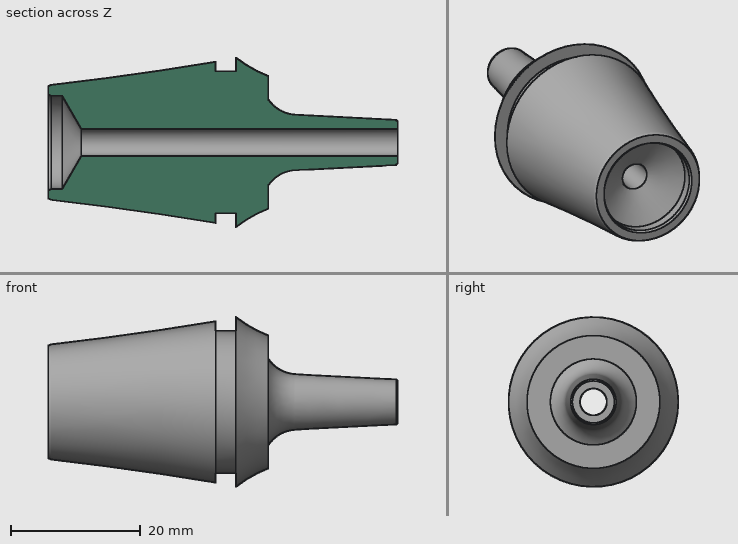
import cadquery as cq
import math

length = 54.0
head_end = 25.85
collar_start = 29.0
collar_end = 34.0
neck_length = 4.05

head_front_radius = 8.9
head_back_radius = 12.5
groove_radius = 11.0
collar_front_radius = 13.1
collar_back_radius = 10.25
neck_root_radius = 6.65
stem_root_radius = 4.3
stem_tip_radius = 3.5

head_sag = 0.15
collar_sag = 0.2
neck_sag = 0.55

head_break_length = 0.5
head_break_height = 0.2
stem_break = 0.25

recess_radius = 7.2
recess_depth = 2.15
hole_radius = 2.05
drill_half_angle = 60.0
mouth_break_length = 0.5
mouth_break_height = 0.2


def sagged_middle(start, end, sag):
    """Midpoint of a chord running along +X, moved by sag towards the axis."""
    run = end[0] - start[0]
    rise = end[1] - start[1]
    chord = math.hypot(run, rise)
    middle_x = (start[0] + end[0]) / 2 + sag * rise / chord
    middle_radius = (start[1] + end[1]) / 2 - sag * run / chord
    return (middle_x, middle_radius)


def revolve_about_axis(profile):
    return profile.close().revolve(360, (0, 0, 0), (1, 0, 0))


def make_body():
    head_front = (head_break_length, head_front_radius)
    head_back = (head_end, head_back_radius)
    collar_front = (collar_start, collar_front_radius)
    collar_back = (collar_end, collar_back_radius)
    neck_root = (collar_end, neck_root_radius)
    stem_root = (collar_end + neck_length, stem_root_radius)
    profile = (
        cq.Workplane("XY")
        .moveTo(0, 0)
        .lineTo(0, head_front_radius - head_break_height)
        .lineTo(*head_front)
        .threePointArc(sagged_middle(head_front, head_back, head_sag), head_back)
        .lineTo(head_end, groove_radius)
        .lineTo(collar_start, groove_radius)
        .lineTo(*collar_front)
        .threePointArc(sagged_middle(collar_front, collar_back, collar_sag), collar_back)
        .lineTo(*neck_root)
        .threePointArc(sagged_middle(neck_root, stem_root, neck_sag), stem_root)
        .lineTo(length - stem_break, stem_tip_radius)
        .lineTo(length, stem_tip_radius - stem_break)
        .lineTo(length, 0)
    )
    return revolve_about_axis(profile)


def make_bore():
    """Broken-edge recess with a conical floor, leading into a through hole."""
    cone_depth = (recess_radius - hole_radius) / math.tan(math.radians(drill_half_angle))
    profile = (
        cq.Workplane("XY")
        .moveTo(0, 0)
        .lineTo(0, recess_radius + mouth_break_height)
        .lineTo(mouth_break_length, recess_radius)
        .lineTo(recess_depth, recess_radius)
        .lineTo(recess_depth + cone_depth, hole_radius)
        .lineTo(length, hole_radius)
        .lineTo(length, 0)
    )
    return revolve_about_axis(profile)


result = make_body().cut(make_bore())